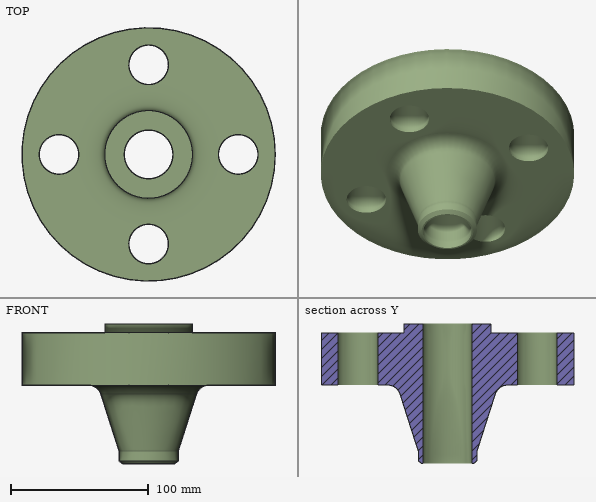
import cadquery as cq

flange_diameter = 184.2
flange_thickness = 38.3
face_diameter = 63.7
face_height = 6.3
total_height = 101.7
bore_diameter = 35.2

neck_diameter = 43.0
neck_length = 9.4
bevel_width = 2.8
bevel_height = 2.2
hub_base_diameter = 73.7
hub_fillet = 9.2

bolt_count = 4
bolt_hole_diameter = 28.5
bolt_circle_diameter = 130.2

flange_top = total_height - face_height
flange_bottom = flange_top - flange_thickness


def make_hub():
    """Tapered hub ending in a short straight neck with a weld bevel."""
    neck_radius = neck_diameter / 2
    return (
        cq.Workplane("XZ")
        .moveTo(0, 0)
        .lineTo(neck_radius - bevel_width, 0)
        .lineTo(neck_radius, bevel_height)
        .lineTo(neck_radius, neck_length)
        .lineTo(hub_base_diameter / 2, flange_bottom)
        .lineTo(0, flange_bottom)
        .close()
        .revolve(360, (0, 0, 0), (0, 1, 0))
    )


def make_flange():
    """Flange disc with its raised face on top."""
    disc = (
        cq.Workplane("XY")
        .workplane(offset=flange_bottom)
        .circle(flange_diameter / 2)
        .extrude(flange_thickness)
    )
    raised_face = (
        cq.Workplane("XY")
        .workplane(offset=flange_top)
        .circle(face_diameter / 2)
        .extrude(face_height)
    )
    return disc.union(raised_face)


def make_holes():
    """Central bore and the ring of bolt holes, all passing right through."""
    bore = cq.Workplane("XY").circle(bore_diameter / 2).extrude(total_height)
    bolt_holes = (
        cq.Workplane("XY")
        .polarArray(bolt_circle_diameter / 2, 0, 360, bolt_count)
        .circle(bolt_hole_diameter / 2)
        .extrude(total_height)
    )
    return bore, bolt_holes


body = make_flange().union(make_hub())

level_tolerance = 0.2
reach = flange_diameter
underside_level = cq.selectors.BoxSelector(
    (-reach, -reach, flange_bottom - level_tolerance),
    (reach, reach, flange_bottom + level_tolerance),
    boundingbox=True,
)
body = body.edges(underside_level).edges(cq.selectors.RadiusNthSelector(0)).fillet(hub_fillet)

bore, bolt_holes = make_holes()
result = body.cut(bore).cut(bolt_holes)